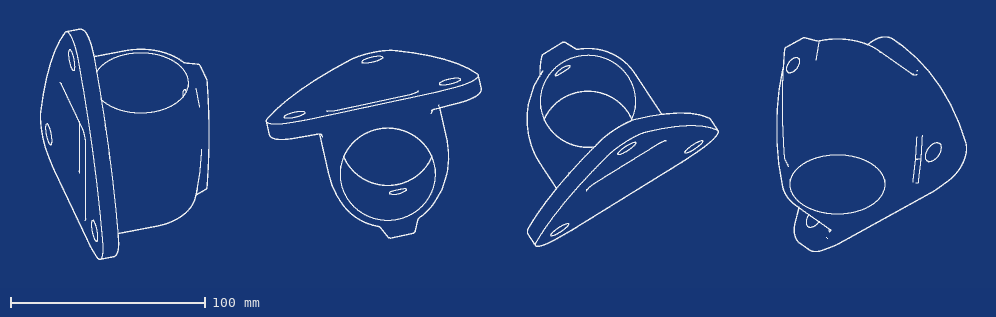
import math

import cadquery as cq

plate_thickness = 9.0
lobe_radius = 15.0
lobe_half_spacing = 41.0
lower_lobe_z = 16.4
upper_lobe_z = 97.95
lobe_centers = [
    (-lobe_half_spacing, lower_lobe_z),
    (lobe_half_spacing, lower_lobe_z),
    (0.0, upper_lobe_z),
]
plate_arc_radius = 240.0
plate_rim_radius = 2.0
mount_hole_diameter = 11.0

socket_height = 74.0
socket_mid_z = socket_height / 2
bore_diameter = 49.0
bore_y = 37.2
barrel_mid_radius = 31.5
barrel_end_radius = 28.3
socket_edge_radius = 1.7
root_radius = 2.0
boss_edge_radius = 1.7

boss_mid_y = 72.0
boss_end_y = 71.0
boss_half_width = 7.4
boss_flank_angle = 25.0
cross_hole_diameter = 9.0
cross_hole_z = 58.0

pocket_width = 49.3
pocket_height = 60.0
pocket_draft = 35.0
pocket_floor_radius = 31.7
pocket_corner_radius = 7.7
pocket_floor_fillet = 4.0
pocket_side_depth = 15.0
pocket_lip_radius = 1.0

tolerance = 0.05


def plate_side_arc(center_a, center_b):
    """Start, middle and end of the shallow arc wrapping two lobes, to the right of a -> b."""
    ax, az = center_a
    bx, bz = center_b
    half = math.hypot(bx - ax, bz - az) / 2
    along = ((bx - ax) / (2 * half), (bz - az) / (2 * half))
    outward = (along[1], -along[0])
    inset = math.sqrt((plate_arc_radius - lobe_radius) ** 2 - half**2)
    cx = (ax + bx) / 2 - inset * outward[0]
    cz = (az + bz) / 2 - inset * outward[1]
    reach = plate_arc_radius / (plate_arc_radius - lobe_radius)
    start = (cx + (ax - cx) * reach, cz + (az - cz) * reach)
    middle = (cx + plate_arc_radius * outward[0], cz + plate_arc_radius * outward[1])
    end = (cx + (bx - cx) * reach, cz + (bz - cz) * reach)
    return start, middle, end


def lobe_tip(center, before, after):
    """Point of a lobe halfway between the two arcs that run into it."""
    dx = before[0] + after[0] - 2 * center[0]
    dz = before[1] + after[1] - 2 * center[1]
    length = math.hypot(dx, dz)
    return center[0] + lobe_radius * dx / length, center[1] + lobe_radius * dz / length


def front_plane(y):
    """Sketch plane facing -Y at the given Y, with local axes X and Z."""
    return cq.Workplane("XZ", origin=(0, y, 0))


def make_plate():
    """Three-lobed plate with a rounded back rim, cut off level at the foot."""
    count = len(lobe_centers)
    sides = [plate_side_arc(lobe_centers[i], lobe_centers[(i + 1) % count]) for i in range(count)]
    outline = front_plane(0).moveTo(*sides[0][0])
    for i, (start, middle, end) in enumerate(sides):
        next_lobe = lobe_centers[(i + 1) % count]
        next_start = sides[(i + 1) % count][0]
        outline = outline.threePointArc(middle, end)
        outline = outline.threePointArc(lobe_tip(next_lobe, end, next_start), next_start)
    plate = outline.close().extrude(-plate_thickness)
    plate = plate.faces(">Y").edges().fillet(plate_rim_radius)
    trim_size = 4 * lobe_half_spacing
    below_foot = cq.Workplane("XY").box(trim_size, trim_size, trim_size, centered=(True, True, False))
    return plate.cut(below_foot.translate((0, 0, -trim_size)))


def make_boss():
    """Wedge whose crown and two flanks each bulge outward at mid height."""
    crown = (
        cq.Workplane("YZ")
        .moveTo(bore_y, 0)
        .lineTo(boss_end_y, 0)
        .threePointArc((boss_mid_y, socket_mid_z), (boss_end_y, socket_height))
        .lineTo(bore_y, socket_height)
        .close()
        .extrude(bore_diameter, both=True)
    )
    boss = crown
    for side in (-1, 1):
        corner_x = side * boss_half_width
        turn = -side * (90 - boss_flank_angle)
        flank = crown.rotate((corner_x, boss_mid_y, 0), (corner_x, boss_mid_y, 1), turn)
        boss = boss.intersect(flank)
    corners = cq.selectors.BoxSelector(
        (-bore_diameter, boss_end_y + tolerance, 0),
        (bore_diameter, boss_mid_y + tolerance, socket_height),
    )
    return boss.edges(corners).fillet(boss_edge_radius)


def barrel_side(start):
    """Draw the bulging +X side of the socket from its foot to its top."""
    return start.lineTo(barrel_end_radius, 0).threePointArc(
        (barrel_mid_radius, socket_mid_z), (barrel_end_radius, socket_height)
    )


def make_socket():
    """Solid socket: half barrel at the back, straight neck to the plate, and the boss."""
    barrel = barrel_side(front_plane(bore_y))
    barrel = barrel.lineTo(0, socket_height).close().revolve(180, (0, 0, 0), (0, 1, 0))
    neck = (
        barrel_side(front_plane(plate_thickness / 2))
        .lineTo(0, socket_height)
        .close()
        .extrude(plate_thickness / 2 - bore_y)
    )
    neck = neck.union(neck.mirror("YZ"))
    socket = barrel.union(neck).union(make_boss())
    boss_seams = cq.selectors.BoxSelector(
        (-barrel_end_radius / 2, bore_y + bore_diameter / 2, socket_mid_z / 2),
        (barrel_end_radius / 2, boss_end_y - socket_edge_radius, socket_height - socket_mid_z / 2),
    )
    return socket.edges(boss_seams).fillet(boss_edge_radius)


def make_pocket():
    """Cutter for the tapered pocket, hollowed so that a round wall stays in front of the bore."""
    pocket = (
        front_plane(0)
        .center(0, socket_mid_z)
        .rect(pocket_width, pocket_height)
        .extrude(-pocket_side_depth, taper=pocket_draft)
        .edges("not(|X or |Z)")
        .fillet(pocket_corner_radius)
    )
    sleeve_wall = cq.Workplane("XY").center(0, bore_y).circle(pocket_floor_radius).extrude(socket_height)
    return pocket.cut(sleeve_wall).faces(">Y").edges().fillet(pocket_floor_fillet)


def make_body():
    """Plate and socket joined, with the root and the socket ends rounded."""
    body = make_plate().union(make_socket())
    root = cq.selectors.BoxSelector(
        (-barrel_mid_radius, plate_thickness - tolerance, tolerance),
        (barrel_mid_radius, plate_thickness + tolerance, socket_height + tolerance),
    )
    body = body.edges(root).fillet(root_radius)
    for end_z in (0, socket_height):
        end_edges = cq.selectors.BoxSelector(
            (-barrel_mid_radius, plate_thickness + root_radius + tolerance, end_z - tolerance),
            (barrel_mid_radius, boss_mid_y, end_z + tolerance),
        )
        body = body.edges(end_edges).fillet(socket_edge_radius)
    return body


def drill(body):
    """Cut the bore, the mounting holes and the cross hole through the boss."""
    bore = cq.Workplane("XY").center(0, bore_y).circle(bore_diameter / 2).extrude(socket_height)
    mounts = front_plane(0).pushPoints(lobe_centers).circle(mount_hole_diameter / 2).extrude(-plate_thickness)
    cross = front_plane(bore_y).center(0, cross_hole_z).circle(cross_hole_diameter / 2).extrude(-bore_y)
    return body.cut(bore).cut(mounts).cut(cross)


def sink_pocket(body):
    """Cut the pocket and round its lip."""
    lip = cq.selectors.BoxSelector(
        (-pocket_width / 2 - tolerance, -tolerance, tolerance),
        (pocket_width / 2 + tolerance, tolerance, socket_height),
    )
    body = body.cut(make_pocket())
    return body.faces("<Y").edges(lip).fillet(pocket_lip_radius)


result = drill(sink_pocket(make_body()))